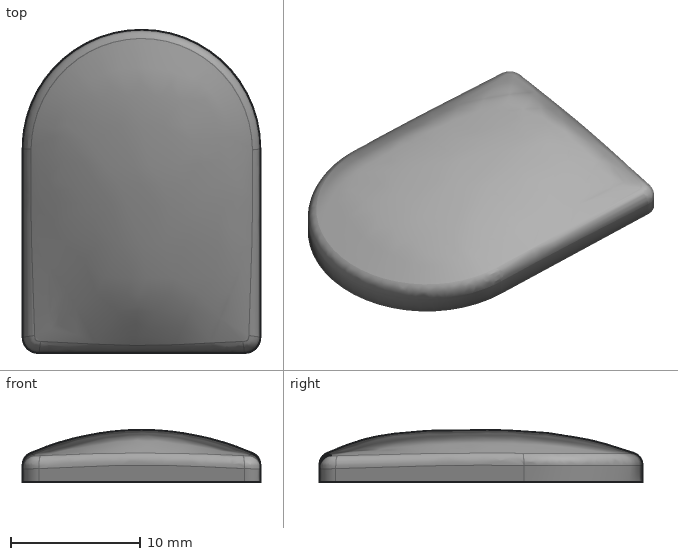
import cadquery as cq

length = 25.0
width = 18.4
height = 4.05

rim_height = 2.0
arch_radius = width / 2
arch_center_y = length - arch_radius
corner_radius = 1.25
rim_fillet = 1.0
selection_margin = 0.02

dome_rise = height - rim_height
crown_y = length / 2
back_exponent = 2.4
front_exponent = 3.1
across_exponent = 2.0
bulge_fractions = (-0.75, -0.5, -0.25, 0.25, 0.5, 0.75)


def make_plate():
    """Flat plate: square front end, semicircular back end."""
    plate = (
        cq.Workplane("XY")
        .moveTo(-arch_radius, 0)
        .lineTo(arch_radius, 0)
        .lineTo(arch_radius, arch_center_y)
        .threePointArc((0, length), (-arch_radius, arch_center_y))
        .close()
        .extrude(rim_height)
    )
    return plate.edges("|Z and <Y").fillet(corner_radius)


def bulge_height(fraction, exponent):
    """Height at a fraction of the way from crown to rim; a larger exponent is fuller."""
    return height - dome_rise * abs(fraction) ** exponent


def dome_points():
    """Points of the two bulges, which fall from the crown to the rim."""
    points = [cq.Vector(0, crown_y, height)]
    for fraction in bulge_fractions:
        along_exponent = front_exponent if fraction < 0 else back_exponent
        y = crown_y + fraction * length / 2
        x = fraction * width / 2
        points.append(cq.Vector(0, y, bulge_height(fraction, along_exponent)))
        points.append(cq.Vector(x, crown_y, bulge_height(fraction, across_exponent)))
    return points


def add_dome(plate):
    """Replace the flat top with a smooth skin stretched from the rim over the bulges."""
    top = plate.faces(">Z").val()
    skin = cq.Face.makeNSidedSurface(top.Edges(), dome_points())
    walls_and_base = plate.faces("not >Z").vals()
    shell = cq.Shell.makeShell(walls_and_base + [skin])
    return cq.Workplane(cq.Solid.makeSolid(shell).fix())


def round_rim(body):
    """Round the edge where the dome meets the side wall."""
    rim = cq.selectors.BoxSelector(
        (-width, -length, rim_height - selection_margin),
        (width, 2 * length, rim_height + selection_margin),
    )
    return body.edges(rim).fillet(rim_fillet)


result = round_rim(add_dome(make_plate()))